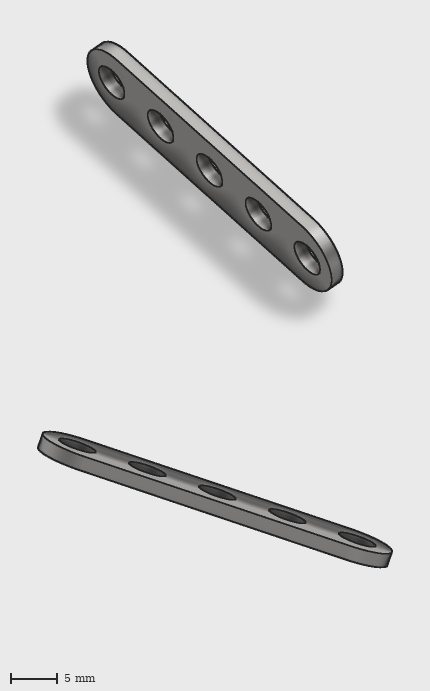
import cadquery as cq

length = 40.0
height = 9.6
thickness = 1.6
hole_diameter = 4.2
hole_count = 5
hole_pitch = 8.0

bar = cq.Workplane("XZ").slot2D(length, height).extrude(thickness / 2, both=True)

result = (
    bar.faces("<Y")
    .workplane(origin=(0, 0, 0))
    .rarray(hole_pitch, 0.4, hole_count, 1)
    .hole(hole_diameter)
)